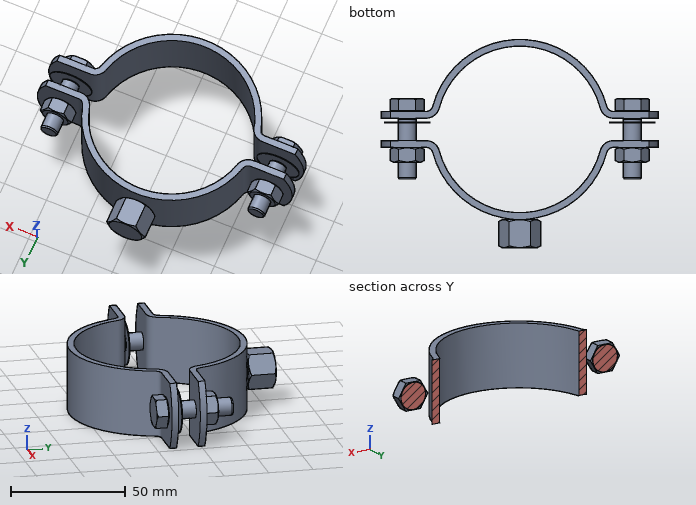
import cadquery as cq
import math


overall_length = 121.4
band_width = 30.0
sheet = 3.0
ring_outer_radius = 39.5
ring_inner_radius = ring_outer_radius - sheet
ear_gap = 9.7
bend_inner_radius = 3.0
bend_outer_radius = bend_inner_radius + sheet
ear_tip_radius = band_width

bolt_x = 49.3
shank_diameter = 8.0
neck_diameter = 7.3
shank_tip_y = 21.7
thread_length = 26.7
thread_taper = 0.7
bolt_hex_flats = 13.0
head_height = 5.2
head_chamfer_diameter = 13.6
head_collar_diameter = 12.7
head_collar_height = 0.4
nut_height = 6.5
nut_chamfer_diameter = 12.1
washer_diameter = 20.0
washer_thickness = 0.4
washer_y = -3.2

crown_nut_flats = 16.0
crown_nut_height = 12.4
crown_nut_chamfer_diameter = 15.5
weld_plug_diameter = 11.4

hex_chamfer_angle = math.radians(30)
cone_overhang = 1.2

ear_inner_y = ear_gap / 2
ear_outer_y = ear_inner_y + sheet
bend_y = ear_outer_y + bend_inner_radius
bend_x = math.sqrt((ring_outer_radius + bend_inner_radius) ** 2 - bend_y ** 2)
bend_angle = math.atan2(bend_y, bend_x)
head_seat_y = -ear_outer_y - head_collar_height


def on_ring(radius, angle):
    """Point on a circle about the pipe axis."""
    return radius * math.cos(angle), radius * math.sin(angle)


def on_bend(radius):
    """Middle point of an arc of the right-hand bend."""
    ring_side = math.pi + bend_angle
    ear_side = 1.5 * math.pi
    angle = (ring_side + ear_side) / 2
    return bend_x + radius * math.cos(angle), bend_y + radius * math.sin(angle)


def mirrored(point):
    return -point[0], point[1]


def half_band():
    """Half ring with a bend and a flat ear at each end, on the +Y side."""
    half_length = overall_length / 2
    inner_end = on_ring(ring_inner_radius, bend_angle)
    outer_end = on_ring(ring_outer_radius, bend_angle)
    inner_bend = on_bend(bend_outer_radius)
    outer_bend = on_bend(bend_inner_radius)
    strip = (
        cq.Workplane("XY")
        .workplane(offset=-band_width / 2)
        .moveTo(half_length, ear_inner_y)
        .lineTo(bend_x, ear_inner_y)
        .threePointArc(inner_bend, inner_end)
        .threePointArc((0, ring_inner_radius), mirrored(inner_end))
        .threePointArc(mirrored(inner_bend), (-bend_x, ear_inner_y))
        .lineTo(-half_length, ear_inner_y)
        .lineTo(-half_length, ear_outer_y)
        .lineTo(-bend_x, ear_outer_y)
        .threePointArc(mirrored(outer_bend), mirrored(outer_end))
        .threePointArc((0, ring_outer_radius), outer_end)
        .threePointArc(outer_bend, (bend_x, ear_outer_y))
        .lineTo(half_length, ear_outer_y)
        .close()
        .extrude(band_width)
    )
    return strip.intersect(rounded_end_outline())


def rounded_end_outline():
    """Plan shape of the ears seen along Y: straight sides with arc-shaped ends."""
    half_length = overall_length / 2
    half_width = band_width / 2
    tip_drop = ear_tip_radius - math.sqrt(ear_tip_radius ** 2 - half_width ** 2)
    corner_x = half_length - tip_drop
    return (
        cq.Workplane("XZ")
        .moveTo(-corner_x, -half_width)
        .lineTo(corner_x, -half_width)
        .threePointArc((half_length, 0), (corner_x, half_width))
        .lineTo(-corner_x, half_width)
        .threePointArc((-half_length, 0), (-corner_x, -half_width))
        .close()
        .extrude(2 * ring_outer_radius, both=True)
    )


def turned_y(profile):
    """Revolve a (radius, y) profile about the Y axis."""
    return cq.Workplane("XY").polyline(profile).close().revolve(360, (0, 0, 0), (0, 1, 0))


def cylinder_y(diameter, y_start, y_end):
    radius = diameter / 2
    return turned_y([(0, y_start), (radius, y_start), (radius, y_end), (0, y_end)])


def across_corners(flats):
    """Corner-to-corner size of a regular hexagon with the given flat-to-flat size."""
    return flats / math.cos(math.pi / 6)


def chamfered_hex(flats, y_low, y_high, low_diameter, high_diameter):
    """Hexagonal prism along Y with corners on X and conically chamfered ends.

    An end given the corner diameter stays sharp.
    """
    corner_diameter = across_corners(flats)
    slope = math.tan(hex_chamfer_angle)
    cone_reach = corner_diameter / 2 + cone_overhang
    prism = (
        cq.Workplane("XZ", origin=(0, y_high, 0))
        .polygon(6, corner_diameter)
        .extrude(y_high - y_low)
    )
    envelope = turned_y([
        (0, y_low),
        (low_diameter / 2, y_low),
        (cone_reach, y_low + (cone_reach - low_diameter / 2) * slope),
        (cone_reach, y_high - (cone_reach - high_diameter / 2) * slope),
        (high_diameter / 2, y_high),
        (0, y_high),
    ])
    return prism.intersect(envelope)


def bolt_shank():
    """Threaded shank with tapered ends and a thinner neck down to the head."""
    shank_radius = shank_diameter / 2
    neck_radius = neck_diameter / 2
    thread_end_y = shank_tip_y - thread_length
    return turned_y([
        (0, head_seat_y),
        (neck_radius, head_seat_y),
        (neck_radius, thread_end_y),
        (shank_radius, thread_end_y + thread_taper),
        (shank_radius, shank_tip_y - thread_taper),
        (neck_radius, shank_tip_y),
        (0, shank_tip_y),
    ])


def bolt_set():
    """Bolt, retaining washer and nut on the Y axis."""
    head = chamfered_hex(
        bolt_hex_flats,
        head_seat_y - head_height,
        head_seat_y,
        head_chamfer_diameter,
        across_corners(bolt_hex_flats),
    )
    nut = chamfered_hex(
        bolt_hex_flats,
        ear_outer_y,
        ear_outer_y + nut_height,
        nut_chamfer_diameter,
        nut_chamfer_diameter,
    )
    collar = cylinder_y(head_collar_diameter, head_seat_y, -ear_outer_y)
    washer = cylinder_y(washer_diameter, washer_y, washer_y + washer_thickness)
    return bolt_shank().union(head).union(collar).union(washer).union(nut)


def crown_nut():
    """Connection nut, joined to the band by a short plug."""
    nut = chamfered_hex(
        crown_nut_flats,
        ring_outer_radius,
        ring_outer_radius + crown_nut_height,
        crown_nut_chamfer_diameter,
        crown_nut_chamfer_diameter,
    )
    plug_y = ring_outer_radius - sheet / 2
    plug = cylinder_y(weld_plug_diameter, plug_y, ring_outer_radius + sheet)
    return nut.union(plug)


upper_band = half_band()
lower_band = upper_band.mirror("XZ")
result = upper_band.union(lower_band).union(crown_nut())
for x in (-bolt_x, bolt_x):
    result = result.union(bolt_set().translate((x, 0, 0)))